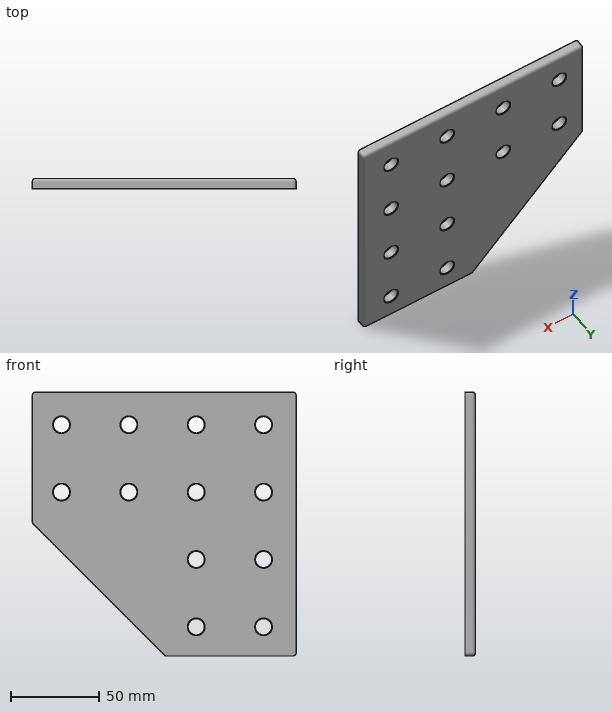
import cadquery as cq

side = 150.0
thickness = 6.0
corner_cut = 75.6
corner_radius = 2.0
back_edge_radius = 2.0

hole_pitch = 38.2
edge_margin = 18.6
hole_diameter = 9.2
hole_chamfer = 0.5
columns = 4
rows = 4
full_rows = 2
short_columns = 2

half_side = side / 2


def make_plate():
    """Square plate with its -X, -Z corner cut off and its edges rounded."""
    outline = [
        (-half_side, half_side),
        (half_side, half_side),
        (half_side, -half_side),
        (-half_side + corner_cut, -half_side),
        (-half_side, -half_side + corner_cut),
    ]
    plate = cq.Workplane("XZ").polyline(outline).close().extrude(thickness / 2, both=True)
    plate = plate.edges("|Y").fillet(corner_radius)
    return plate.faces(">Y").edges().fillet(back_edge_radius)


def hole_centres():
    """Grid positions, leaving out those near the cut corner."""
    centres = []
    for row in range(rows):
        used_columns = columns if row < full_rows else short_columns
        for column in range(used_columns):
            x = half_side - edge_margin - column * hole_pitch
            z = half_side - edge_margin - row * hole_pitch
            centres.append((x, z))
    return centres


def make_hole_cutters():
    """Through holes with a small chamfer at each face."""
    radius = hole_diameter / 2
    back = thickness / 2
    front = -back
    profile = [
        (0, front),
        (radius + hole_chamfer, front),
        (radius, front + hole_chamfer),
        (radius, back - hole_chamfer),
        (radius + hole_chamfer, back),
        (0, back),
    ]
    cutter = cq.Workplane("XY").polyline(profile).close().revolve(360, (0, 0), (0, 1)).val()
    cutters = cq.Workplane("XY")
    for x, z in hole_centres():
        cutters = cutters.add(cutter.translate(cq.Vector(x, 0, z)))
    return cutters.combine()


result = make_plate().cut(make_hole_cutters())